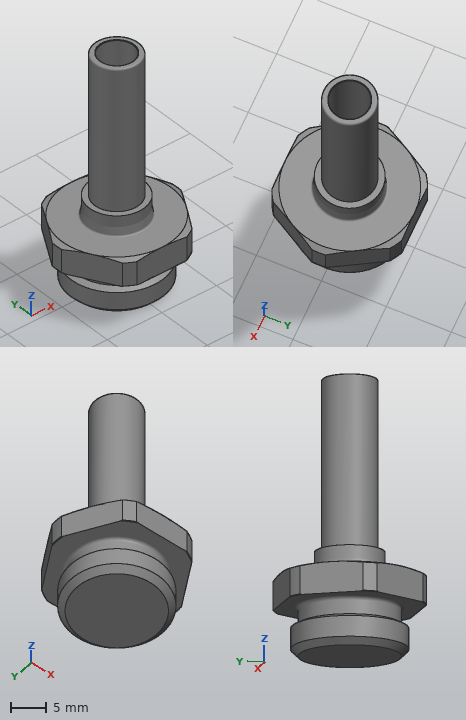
import cadquery as cq
import math

total_height = 40.0
hex_bottom = 7.0
hex_top = 11.5
collar_top = 15.0

thread_radius = 8.35
lead_in_height = 1.0
relief_radius = 7.3
thread_top = 4.0
relief_bottom = 4.5
relief_fillet = 0.5

width_across_flats = 20.0
width_across_corners = width_across_flats / math.cos(math.pi / 6)
hex_corner_radius = 11.0
hex_top_land_radius = width_across_flats / 2
hex_top_chamfer_height = 0.35
hex_bottom_chamfer = 0.1

collar_radius = 5.0
flare_top = 13.0
flare_radius = 5.2
collar_fillet = 0.3

stem_radius = 4.0
stem_tip_fillet = 0.3
bore_radius = 3.0
bore_rim_chamfer = 0.1
bore_floor = hex_top


def revolve_profile(profile):
    """Turn a half profile drawn in the XZ plane around the Z axis."""
    return profile.close().revolve(360, (0, 0, 0), (0, 1, 0))


def make_threaded_end():
    profile = (
        cq.Workplane("XZ")
        .lineTo(relief_radius, 0)
        .lineTo(thread_radius, lead_in_height)
        .lineTo(thread_radius, thread_top)
        .lineTo(relief_radius, relief_bottom)
        .lineTo(relief_radius, hex_bottom - relief_fillet)
        .radiusArc((relief_radius + relief_fillet, hex_bottom), relief_fillet)
        .lineTo(0, hex_bottom)
    )
    return revolve_profile(profile)


def make_hexagon():
    prism = (
        cq.Workplane("XY", origin=(0, 0, hex_bottom))
        .polygon(6, width_across_corners)
        .extrude(hex_top - hex_bottom)
    )
    envelope = (
        cq.Workplane("XZ")
        .moveTo(0, hex_bottom)
        .lineTo(hex_corner_radius - hex_bottom_chamfer, hex_bottom)
        .lineTo(hex_corner_radius, hex_bottom + hex_bottom_chamfer)
        .lineTo(hex_corner_radius, hex_top - hex_top_chamfer_height)
        .lineTo(hex_top_land_radius, hex_top)
        .lineTo(0, hex_top)
    )
    return prism.intersect(revolve_profile(envelope))


def make_collar():
    profile = (
        cq.Workplane("XZ")
        .moveTo(0, hex_top)
        .lineTo(flare_radius + collar_fillet, hex_top)
        .radiusArc((flare_radius, hex_top + collar_fillet), collar_fillet)
        .lineTo(collar_radius, flare_top)
        .lineTo(collar_radius, collar_top)
        .lineTo(0, collar_top)
    )
    return revolve_profile(profile)


def make_stem():
    stem = (
        cq.Workplane("XY", origin=(0, 0, collar_top))
        .circle(stem_radius)
        .extrude(total_height - collar_top)
    )
    return stem.faces(">Z").edges().fillet(stem_tip_fillet)


def make_bore():
    """Cutter for the bore, widened at the mouth to chamfer the rim."""
    profile = (
        cq.Workplane("XZ")
        .moveTo(0, bore_floor)
        .lineTo(bore_radius, bore_floor)
        .lineTo(bore_radius, total_height - bore_rim_chamfer)
        .lineTo(bore_radius + bore_rim_chamfer, total_height)
        .lineTo(0, total_height)
    )
    return revolve_profile(profile)


solid_body = make_threaded_end().union(make_hexagon()).union(make_collar()).union(make_stem())
result = solid_body.cut(make_bore())